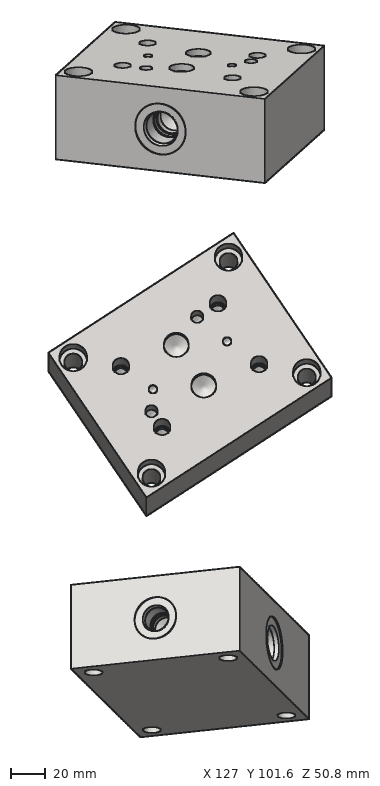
import cadquery as cq
import math

LENGTH = 127.0
WIDTH = 101.6
HEIGHT = 50.8

DRILL_HALF_ANGLE = math.radians(59)

MOUNT_INSET = 10.3
MOUNT_DIAMETER = 10.3
MOUNT_BORE_DIAMETER = 15.9
MOUNT_BORE_DEPTH = 12.7

BOLT_X = 33.3
BOLT_Y = 21.3
BOLT_THREAD_DIAMETER = 9.5
BOLT_THREAD_DEPTH = 19.0
BOLT_DRILL_DIAMETER = 7.9
BOLT_DRILL_DEPTH = 24.1

MAIN_Y = 14.2
MAIN_DIAMETER = 14.2
MAIN_DEPTH = 4.2

PILOT_DIAMETER = 7.1
PILOT_DEPTH = 12.7
PILOT_POINTS = [(BOLT_X, 10.3), (-19.0, -BOLT_Y)]

PIN_X = 25.4
PIN_DIAMETER = 4.8
PIN_DEPTH = 1.5

PORT_HEIGHT = HEIGHT / 2
FRONT_PORT_STEPS = [
    (30.6, 30.6, 0.8),
    (20.6, 19.3, 3.3),
    (19.0, 19.0, 14.6),
    (17.5, 17.5, 17.8),
    (15.9, 15.9, 22.9),
]
SIDE_PORT_STEPS = [
    (25.0, 25.0, 0.8),
    (15.6, 14.5, 3.3),
    (14.2, 14.2, 12.7),
    (13.0, 13.0, 15.2),
    (12.3, 12.3, 19.0),
]


def stepped_hole(steps):
    """Cutter that runs down from Z = 0 through coaxial steps to a conical drill tip."""
    outline = cq.Workplane("XZ").moveTo(0, 0)
    start_depth = 0.0
    for start_diameter, end_diameter, end_depth in steps:
        outline = outline.lineTo(start_diameter / 2, -start_depth)
        outline = outline.lineTo(end_diameter / 2, -end_depth)
        start_depth = end_depth
    tip_length = steps[-1][1] / 2 / math.tan(DRILL_HALF_ANGLE)
    outline = outline.lineTo(0, -start_depth - tip_length).close()
    return outline.revolve(360, (0, 0, 0), (0, 1, 0))


def drill_top(body, points, steps):
    """Cut the same stepped hole into the top face at every point."""
    cutter = stepped_hole(steps)
    for x, y in points:
        body = body.cut(cutter.translate((x, y, HEIGHT)))
    return body


def mirrored_points(x, y):
    """The four corners of a rectangle centred on the block."""
    return [(sx * x, sy * y) for sx in (-1, 1) for sy in (-1, 1)]


block = cq.Workplane("XY").box(LENGTH, WIDTH, HEIGHT, centered=(True, True, False))

block = (
    block.faces(">Z").workplane(origin=(0, 0, HEIGHT))
    .pushPoints(mirrored_points(LENGTH / 2 - MOUNT_INSET, WIDTH / 2 - MOUNT_INSET))
    .cboreHole(MOUNT_DIAMETER, MOUNT_BORE_DIAMETER, MOUNT_BORE_DEPTH)
)

bolt_steps = [
    (BOLT_THREAD_DIAMETER, BOLT_THREAD_DIAMETER, BOLT_THREAD_DEPTH),
    (BOLT_DRILL_DIAMETER, BOLT_DRILL_DIAMETER, BOLT_DRILL_DEPTH),
]
block = drill_top(block, mirrored_points(BOLT_X, BOLT_Y), bolt_steps)
block = drill_top(block, [(0, -MAIN_Y), (0, MAIN_Y)], [(MAIN_DIAMETER, MAIN_DIAMETER, MAIN_DEPTH)])
block = drill_top(block, PILOT_POINTS, [(PILOT_DIAMETER, PILOT_DIAMETER, PILOT_DEPTH)])
block = drill_top(block, [(-PIN_X, 0), (PIN_X, 0)], [(PIN_DIAMETER, PIN_DIAMETER, PIN_DEPTH)])

front_port = stepped_hole(FRONT_PORT_STEPS).rotate((0, 0, 0), (1, 0, 0), 90)
block = block.cut(front_port.translate((0, -WIDTH / 2, PORT_HEIGHT)))

side_port = stepped_hole(SIDE_PORT_STEPS).rotate((0, 0, 0), (0, 1, 0), -90)
result = block.cut(side_port.translate((-LENGTH / 2, 0, PORT_HEIGHT)))